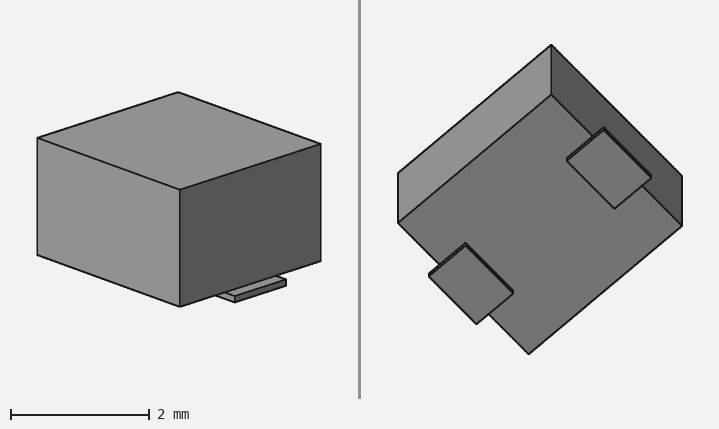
import cadquery as cq

overall_length = 3.42
overall_height = 1.9
body_length = 3.0
body_width = 2.8
terminal_length = 0.72
terminal_width = 1.023
terminal_thickness = 0.1

body_height = overall_height - terminal_thickness
terminal_offset = (overall_length - terminal_length) / 2


def make_body():
    """Plain block resting on top of the terminals."""
    return (
        cq.Workplane("XY")
        .workplane(offset=terminal_thickness)
        .rect(body_length, body_width)
        .extrude(body_height)
    )


def make_terminal(side):
    """Flat terminal under the body; side is -1 or +1 along X."""
    return (
        cq.Workplane("XY")
        .center(side * terminal_offset, 0)
        .rect(terminal_length, terminal_width)
        .extrude(terminal_thickness)
    )


body = make_body()
terminals = [make_terminal(side) for side in (-1, 1)]

result = cq.Compound.makeCompound([body.val(), *[terminal.val() for terminal in terminals]])